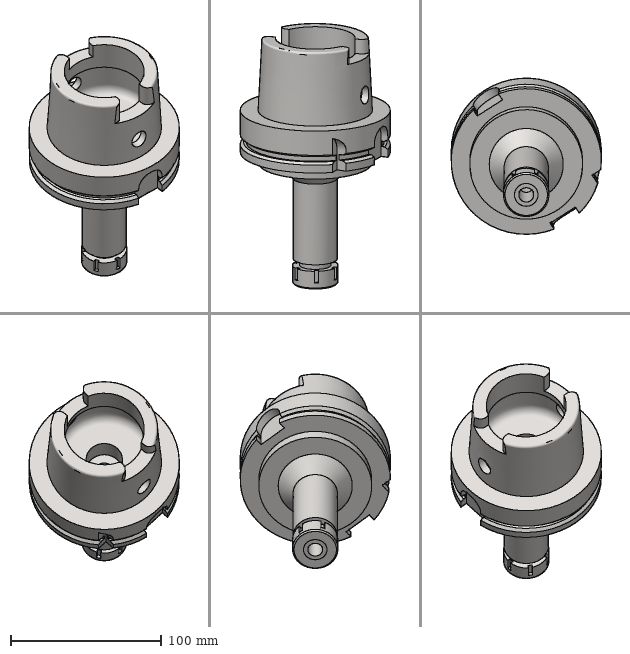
import cadquery as cq
import math


SHANK_HEIGHT = 50.0
SHANK_BASE_RADIUS = 38.0
SHANK_TOP_RADIUS = 35.5
RIM_FILLET = 1.5
BORE_RADIUS = 26.5
LIP_DEPTH = 20.0
UNDERCUT_RADIUS = 32.3
UNDERCUT_FILLET = 6.0
BORE_DEPTH = 46.8
TUBE_SEAT_RADIUS = 12.0
TUBE_SEAT_DEPTH = 17.0
CHANNEL_RADIUS = 6.0
CROSS_HOLE_RADIUS = 6.0
CROSS_HOLE_HEIGHT = 15.3

DRIVE_SLOT_WIDTH = 20.0
DRIVE_SLOT_DEPTH_LEFT = 10.0
DRIVE_SLOT_DEPTH_RIGHT = 15.0
LUG_ROUNDING = 5.1
LUG_END = 32.1

FLANGE_RADIUS = 50.0
FLANGE_THICKNESS = 29.0
GROOVE_FLOOR_RADIUS = 45.9
GROOVE_TOP = 18.4
GROOVE_WIDTH = 3.7
GROOVE_CHAMFER_HEIGHT = 1.5
GROOVE_CHAMFER_DEPTH = 2.2

ARCH_WIDTH = 20.0
ARCH_CENTER_DEPTH = 15.1
MAIN_ARCH_FLOOR = 44.0
SIDE_ARCH_FLOOR = 32.0
SIDE_ARCH_Y = 41.5

COLLAR_RADIUS = 37.5
COLLAR_BOTTOM = -36.9
CONE_TOP_RADIUS = 24.6
CONE_BOTTOM = -47.1
NECK_RADIUS = 14.8
NECK_BOTTOM = -103.0
NOSE_RADIUS = 10.5
NOSE_BOTTOM = -114.8

NUT_RADIUS = 15.1
NUT_TOP = -107.5
NUT_BOTTOM = SHANK_HEIGHT - 170
NUT_CHAMFER = 1.0
NUT_OPENING_RADIUS = 7.8
NUT_SLOT_COUNT = 6
NUT_SLOT_WIDTH = 2.7
NUT_SLOT_LENGTH = 8.2
NUT_SLOT_DEPTH = 2.0

COLLET_TOP = -93.5
COLLET_TOP_RADIUS = 6.6
COLLET_SHOULDER_RADIUS = 8.5
COLLET_BORE_RADIUS = 5.0


def cylinder(radius, bottom, top):
    return cq.Workplane("XY").workplane(offset=bottom).circle(radius).extrude(top - bottom)


def turned(profile):
    """Full revolution about Z of a closed (radius, height) profile."""
    return profile.close().revolve(360, (0, 0, 0), (0, 1, 0))


def collet_outline():
    """Solid collet without its bore, also used to cut its seat in the holder."""
    profile = (
        cq.Workplane("XZ")
        .moveTo(0, NUT_BOTTOM)
        .lineTo(NUT_OPENING_RADIUS, NUT_BOTTOM)
        .lineTo(NUT_OPENING_RADIUS, NOSE_BOTTOM)
        .lineTo(COLLET_SHOULDER_RADIUS, NOSE_BOTTOM)
        .lineTo(COLLET_TOP_RADIUS, COLLET_TOP)
        .lineTo(0, COLLET_TOP)
    )
    return turned(profile)


def holder_outside():
    groove_bottom = GROOVE_TOP + GROOVE_WIDTH
    groove_side_radius = FLANGE_RADIUS - GROOVE_CHAMFER_DEPTH
    profile = (
        cq.Workplane("XZ")
        .moveTo(0, SHANK_HEIGHT)
        .lineTo(SHANK_TOP_RADIUS, SHANK_HEIGHT)
        .lineTo(SHANK_BASE_RADIUS, 0)
        .lineTo(FLANGE_RADIUS, 0)
        .lineTo(FLANGE_RADIUS, -GROOVE_TOP + GROOVE_CHAMFER_HEIGHT)
        .lineTo(groove_side_radius, -GROOVE_TOP)
        .lineTo(GROOVE_FLOOR_RADIUS, -GROOVE_TOP)
        .lineTo(GROOVE_FLOOR_RADIUS, -groove_bottom)
        .lineTo(groove_side_radius, -groove_bottom)
        .lineTo(FLANGE_RADIUS, -groove_bottom - GROOVE_CHAMFER_HEIGHT)
        .lineTo(FLANGE_RADIUS, -FLANGE_THICKNESS)
        .lineTo(COLLAR_RADIUS, -FLANGE_THICKNESS)
        .lineTo(COLLAR_RADIUS, COLLAR_BOTTOM)
        .lineTo(CONE_TOP_RADIUS, COLLAR_BOTTOM)
        .lineTo(NECK_RADIUS, CONE_BOTTOM)
        .lineTo(NECK_RADIUS, NECK_BOTTOM)
        .lineTo(NOSE_RADIUS, NECK_BOTTOM)
        .lineTo(NOSE_RADIUS, NOSE_BOTTOM)
        .lineTo(0, NOSE_BOTTOM)
    )
    return turned(profile).faces(">Z").edges().fillet(RIM_FILLET)


def holder_bore():
    lip_bottom = SHANK_HEIGHT - LIP_DEPTH
    floor = SHANK_HEIGHT - BORE_DEPTH
    lip = cylinder(BORE_RADIUS, lip_bottom, SHANK_HEIGHT)
    undercut = cylinder(UNDERCUT_RADIUS, floor, lip_bottom).faces("<Z").edges().fillet(UNDERCUT_FILLET)
    tube_seat = cylinder(TUBE_SEAT_RADIUS, floor - TUBE_SEAT_DEPTH, floor)
    channel = cylinder(CHANNEL_RADIUS, COLLET_TOP, floor - TUBE_SEAT_DEPTH)
    return lip.union(undercut).union(tube_seat).union(channel)


def drive_slot(side, depth):
    """Slot through the rim on one X side (-1 or 1), flaring out round the ends of the lugs."""
    half_width = DRIVE_SLOT_WIDTH / 2
    flare_start = LUG_END - LUG_ROUNDING
    flare_half_width = half_width + LUG_ROUNDING
    arc_rise = LUG_ROUNDING * (1 - math.sqrt(0.5))
    arc_run = LUG_ROUNDING * math.sqrt(0.5)
    arc_middle = (side * (flare_start + arc_run), half_width + arc_rise)
    return (
        cq.Workplane("XY")
        .workplane(offset=SHANK_HEIGHT - depth)
        .moveTo(0, half_width)
        .lineTo(side * flare_start, half_width)
        .threePointArc(arc_middle, (side * LUG_END, flare_half_width))
        .lineTo(side * LUG_END, FLANGE_RADIUS)
        .lineTo(side * FLANGE_RADIUS, FLANGE_RADIUS)
        .lineTo(side * FLANGE_RADIUS, 0)
        .lineTo(0, 0)
        .close()
        .mirrorX()
        .extrude(depth)
    )


def arched_slot(side, center_y, floor):
    """Round-topped slot cut into one X side (-1 or 1) of the flange, open at its underside."""
    half_width = ARCH_WIDTH / 2
    return (
        cq.Workplane("YZ")
        .workplane(offset=side * floor)
        .moveTo(center_y - half_width, -FLANGE_THICKNESS)
        .lineTo(center_y - half_width, -ARCH_CENTER_DEPTH)
        .threePointArc((center_y, half_width - ARCH_CENTER_DEPTH), (center_y + half_width, -ARCH_CENTER_DEPTH))
        .lineTo(center_y + half_width, -FLANGE_THICKNESS)
        .close()
        .extrude(side * (FLANGE_RADIUS - floor))
    )


def cross_hole():
    return (
        cq.Workplane("YZ")
        .center(0, CROSS_HOLE_HEIGHT)
        .circle(CROSS_HOLE_RADIUS)
        .extrude(FLANGE_RADIUS, both=True)
    )


def make_holder():
    return (
        holder_outside()
        .cut(holder_bore())
        .cut(drive_slot(-1, DRIVE_SLOT_DEPTH_LEFT))
        .cut(drive_slot(1, DRIVE_SLOT_DEPTH_RIGHT))
        .cut(cross_hole())
        .cut(arched_slot(-1, 0, MAIN_ARCH_FLOOR))
        .cut(arched_slot(1, 0, MAIN_ARCH_FLOOR))
        .cut(arched_slot(-1, SIDE_ARCH_Y, SIDE_ARCH_FLOOR))
        .cut(collet_outline())
    )


def make_nut():
    nut = cylinder(NUT_RADIUS, NUT_BOTTOM, NUT_TOP).faces("<Z").edges().chamfer(NUT_CHAMFER)
    nut = nut.cut(cylinder(NOSE_RADIUS, NOSE_BOTTOM, NUT_TOP))
    nut = nut.cut(cylinder(NUT_OPENING_RADIUS, NUT_BOTTOM, NOSE_BOTTOM))
    slot = (
        cq.Workplane("XY")
        .box(2 * NUT_SLOT_DEPTH, NUT_SLOT_WIDTH, NUT_SLOT_LENGTH)
        .translate((NUT_RADIUS, 0, NUT_TOP - NUT_SLOT_LENGTH / 2))
    )
    for index in range(NUT_SLOT_COUNT):
        nut = nut.cut(slot.rotate((0, 0, 0), (0, 0, 1), index * 360 / NUT_SLOT_COUNT))
    return nut


def make_collet():
    return collet_outline().cut(cylinder(COLLET_BORE_RADIUS, NUT_BOTTOM, COLLET_TOP))


holder = make_holder()
nut = make_nut()
collet = make_collet()

result = cq.Compound.makeCompound([holder.val(), nut.val(), collet.val()])